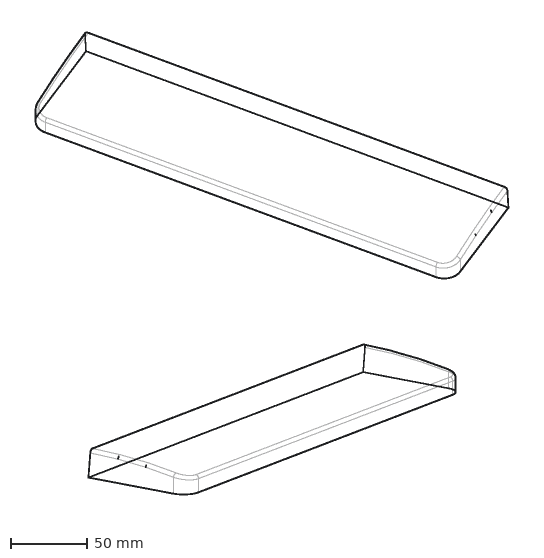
import cadquery as cq
import math

length = 313.97
depth = 80.0
height = 19.7

back_draft = 5.0
crown_front_height = 11.7

corner_radius = 11.8
rim_radius = 2.5

back_top_y = depth - height * math.tan(math.radians(back_draft))
crown_drop = height - crown_front_height
crown_radius = (back_top_y**2 + crown_drop**2) / (2 * crown_drop)


def crown_height(y):
    """Height of the crowned top at distance y from the front face."""
    return height - crown_radius + math.sqrt(crown_radius**2 - (back_top_y - y) ** 2)


def wedge_body():
    """Side profile extruded along X, equally to both sides of the YZ plane."""
    middle_y = back_top_y / 2
    return (
        cq.Workplane("YZ")
        .moveTo(0, 0)
        .lineTo(depth, 0)
        .lineTo(back_top_y, height)
        .threePointArc((middle_y, crown_height(middle_y)), (0, crown_front_height))
        .close()
        .extrude(length / 2, both=True)
    )


def round_front_corners(body):
    return body.faces("<Y").edges("|Z").fillet(corner_radius)


def round_top_rim(body):
    """Round the top along both ends, the front corners and the front; the back stays sharp."""
    front_top_edge = body.faces("<Y").edges(">Z")
    return front_top_edge.fillet(rim_radius)


result = round_top_rim(round_front_corners(wedge_body()))